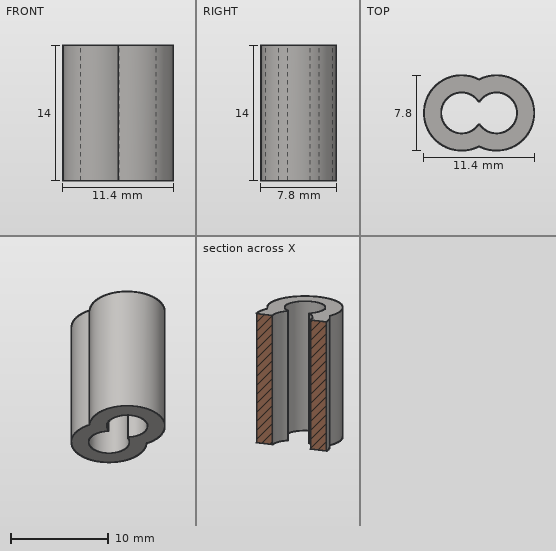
import cadquery as cq

length = 14.0
overall_width = 11.4
lobe_diameter = 7.8
bore_diameter = 4.2
cusp_gap = 2.35

lobe_spacing = overall_width - lobe_diameter


def cylinder(diameter, center_x):
    """Full-length upright cylinder centered on the X axis."""
    return cq.Workplane("XY").center(center_x, 0).circle(diameter / 2).extrude(length)


def twin_cylinders(diameter):
    """Two overlapping upright cylinders, side by side along X."""
    left = cylinder(diameter, -lobe_spacing / 2)
    right = cylinder(diameter, lobe_spacing / 2)
    return left.union(right)


def cusp_relief():
    """Block that trims the sharp cusps between the bores to a narrow flat."""
    return cq.Workplane("XY").rect(lobe_spacing, cusp_gap).extrude(length)


bore = twin_cylinders(bore_diameter).union(cusp_relief())
result = twin_cylinders(lobe_diameter).cut(bore)